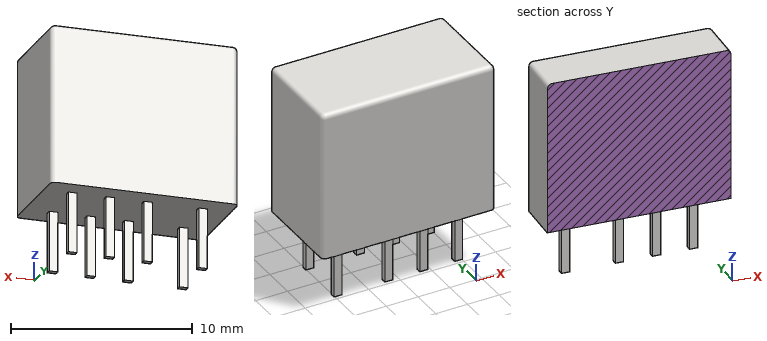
import cadquery as cq

body_length = 10.9
body_width = 6.0
overall_height = 12.8
pin_length = 3.5
body_height = overall_height - pin_length
edge_radius = 0.3

pin_thickness_x = 0.5
pin_thickness_y = 0.35
row_spacing = 3.2
end_gap = 3.2
pin_pitch = 2.2
row_length = end_gap + 2 * pin_pitch
first_pin_x = -row_length / 2
second_pin_x = first_pin_x + end_gap
pin_x_positions = [
    first_pin_x,
    second_pin_x,
    second_pin_x + pin_pitch,
    second_pin_x + 2 * pin_pitch,
]
pin_y_positions = [-row_spacing / 2, row_spacing / 2]


def make_housing():
    """Box standing on Z = 0, rounded on every edge except around its base."""
    box = cq.Workplane("XY").box(
        body_length, body_width, body_height, centered=(True, True, False)
    )
    return box.edges("|Z or >Z").fillet(edge_radius)


def make_pins():
    """All leads, hanging down from the base of the housing."""
    centers = [(x, y) for y in pin_y_positions for x in pin_x_positions]
    return (
        cq.Workplane("XY")
        .pushPoints(centers)
        .rect(pin_thickness_x, pin_thickness_y)
        .extrude(-pin_length)
    )


result = make_housing().union(make_pins())